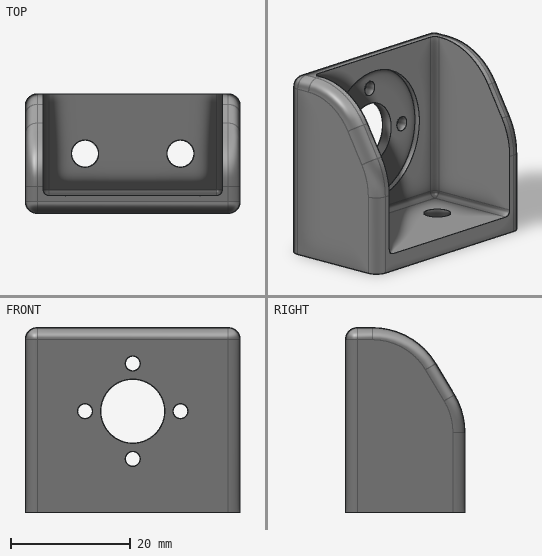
import cadquery as cq

width = 36.0
depth = 20.0
height = 31.0
outer_fillet = 2.0

wall = 3.0
floor = 3.0
inner_fillet = 1.0

slope_run = 8.5
slope_rise = 14.2
slope_blend_radius = 12.4

shaft_diameter = 10.7
screw_diameter = 2.45
screw_circle_diameter = 16.0
shaft_height = 17.0
seat_diameter = 22.5
seat_depth = 1.0

mount_diameter = 4.5
mount_spacing = 16.0

front_y = -depth / 2
back_y = depth / 2


def outer_body():
    """Block with the sloped back corner, rounded everywhere but the bottom."""
    body = (
        cq.Workplane("YZ")
        .moveTo(front_y, 0)
        .lineTo(back_y, 0)
        .lineTo(back_y, height - slope_rise)
        .lineTo(back_y - slope_run, height)
        .lineTo(front_y, height)
        .close()
        .extrude(width / 2, both=True)
    )
    slope_ends = body.faces(">Y or >Z").edges("|X").edges("(not <Y) and (not <Z)")
    body = slope_ends.fillet(slope_blend_radius)
    side_outlines = body.faces("<X or >X").edges("not <Z")
    rounded_edges = side_outlines.add(body.faces("<Y").edges(">Z"))
    return rounded_edges.fillet(outer_fillet)


def cavity():
    """Pocket volume, rounded along the floor and the front corners."""
    overrun = 2 * inner_fillet
    block = cq.Workplane("XY").box(
        width - 2 * wall,
        depth - wall + overrun,
        height - floor + overrun,
        centered=(True, False, False),
    )
    block = block.translate((0, front_y + wall, floor))
    floor_edges = block.faces("<Z").edges("not >Y")
    return floor_edges.add(block.faces("<Y").edges("|Z")).fillet(inner_fillet)


def motor_holes():
    """Shaft hole and four screw holes through the front wall."""
    plane = cq.Workplane("XZ", origin=(0, front_y + 2 * wall, shaft_height))
    length = 3 * wall
    shaft = plane.circle(shaft_diameter / 2).extrude(length)
    screws = (
        plane.polarArray(screw_circle_diameter / 2, 0, 360, 4)
        .circle(screw_diameter / 2)
        .extrude(length)
    )
    return shaft.union(screws)


def motor_seat():
    """Round recess in the inner face of the front wall, around the shaft hole."""
    plane = cq.Workplane("XZ", origin=(0, front_y + wall, shaft_height))
    return plane.circle(seat_diameter / 2).extrude(seat_depth)


def mount_holes():
    """Two holes through the floor."""
    return (
        cq.Workplane("XY")
        .rarray(mount_spacing, 0.35, 2, 1)
        .circle(mount_diameter / 2)
        .extrude(2 * floor)
    )


result = (
    outer_body()
    .cut(cavity())
    .cut(motor_seat())
    .cut(motor_holes())
    .cut(mount_holes())
)